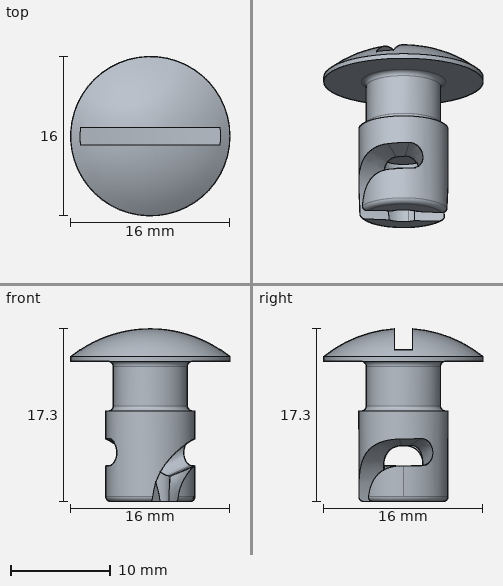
import cadquery as cq
import math

head_radius = 8.0
rim_bottom = 14.06
rim_thickness = 0.48
dome_apex = 17.37
driver_slot_width = 1.78
driver_slot_floor = 15.25
driver_slot_reach = 7.1
driver_slot_sag = 0.65

neck_radius = 3.73
body_radius = 4.48
body_top = 9.1
blend_radius = 0.5

bore_radius = 2.0
bore_depth = 6.0

slot_half_width = 1.35
slot_flare = 0.07
slot_dip = 0.345
path_height = 4.92
path_sweep = 64.5
ellipse_top_angle = 5.0
round_end_angle = -23.5
round_end_height = 4.97
cutter_overlap = 0.8
cutter_outer = body_radius + cutter_overlap
cutter_inner = bore_radius - cutter_overlap
curve_stations = 7
level_stations = 4
run_out = 1.5


def make_turned_body():
    """Domed head, neck and body as one solid of revolution, with blended edges."""
    rim_top = rim_bottom + rim_thickness
    dome_height = dome_apex - rim_top
    dome_radius = (head_radius**2 + dome_height**2) / (2 * dome_height)
    mid_x = head_radius / 2
    mid_z = dome_apex - dome_radius + math.sqrt(dome_radius**2 - mid_x**2)
    quarter = blend_radius * (1 - math.sqrt(0.5))
    neck_bottom = body_top + blend_radius
    neck_top = rim_bottom - blend_radius
    blend_outer = neck_radius + blend_radius
    profile = (
        cq.Workplane("XZ")
        .lineTo(body_radius - blend_radius, 0)
        .threePointArc((body_radius - quarter, quarter), (body_radius, blend_radius))
        .lineTo(body_radius, body_top)
        .lineTo(blend_outer, body_top)
        .threePointArc((neck_radius + quarter, body_top + quarter), (neck_radius, neck_bottom))
        .lineTo(neck_radius, neck_top)
        .threePointArc((neck_radius + quarter, rim_bottom - quarter), (blend_outer, rim_bottom))
        .lineTo(head_radius, rim_bottom)
        .lineTo(head_radius, rim_top)
        .threePointArc((mid_x, mid_z), (0, dome_apex))
        .close()
    )
    return profile.revolve(360, (0, 0, 0), (0, 1, 0))


def make_driver_slot():
    """Screwdriver slot across the head, with a floor that sags towards the middle."""
    return (
        cq.Workplane("XZ")
        .moveTo(-driver_slot_reach, dome_apex)
        .lineTo(-driver_slot_reach, driver_slot_floor)
        .threePointArc((0, driver_slot_floor - driver_slot_sag), (driver_slot_reach, driver_slot_floor))
        .lineTo(driver_slot_reach, dome_apex)
        .close()
        .extrude(driver_slot_width / 2, both=True)
    )


def make_bore():
    """Blind bore up from the lower end."""
    return cq.Workplane("XY").circle(bore_radius).extrude(bore_depth)


def slot_directions(angle):
    """Outward and sideways unit vectors at an angle turned from -X towards +Y."""
    turn = math.radians(angle)
    outward = cq.Vector(-math.cos(turn), math.sin(turn), 0)
    sideways = cq.Vector(math.sin(turn), math.cos(turn), 0)
    return outward, sideways


def slot_centre(angle, height, radius):
    """Point on the dipping middle surface of the slot."""
    outward, _ = slot_directions(angle)
    dip = slot_dip * (body_radius - radius)
    return outward * radius + cq.Vector(0, 0, height - dip)


def half_width(radius):
    """Half width of the slot at a distance from the axis of the part."""
    return slot_half_width + slot_flare * (body_radius - radius)


def slot_section(angle, height, turn_rate, climb_rate):
    """Cross-section of the slot where the path turns and climbs at the given rates."""
    _, sideways = slot_directions(angle)
    across = (sideways * -climb_rate + cq.Vector(0, 0, body_radius * turn_rate)).normalized()
    outer = slot_centre(angle, height, cutter_outer)
    inner = slot_centre(angle, height, cutter_inner)
    outer_step = across * half_width(cutter_outer)
    inner_step = across * half_width(cutter_inner)
    corners = [outer - outer_step, outer + outer_step, inner + inner_step, inner - inner_step]
    return cq.Wire.makePolygon(corners, close=True)


def make_cam_slot():
    """Cutter pieces for one cam slot, from the lower end of the body to the round end."""
    sweep = math.radians(path_sweep)
    curve_sections = []
    for station in range(curve_stations):
        turn = math.pi / 2 * station / (curve_stations - 1)
        angle = ellipse_top_angle + path_sweep * math.sin(turn)
        height = path_height * math.cos(turn)
        turn_rate = sweep * math.cos(turn)
        climb_rate = -path_height * math.sin(turn)
        curve_sections.append(slot_section(angle, height, turn_rate, climb_rate))
    curve = cq.Solid.makeLoft(curve_sections)

    mouth_angle = ellipse_top_angle + path_sweep
    mouth = cq.Solid.makeLoft([slot_section(mouth_angle, z, 0, -1) for z in (0, -run_out)], True)

    level_sections = []
    for station in range(level_stations):
        progress = station / (level_stations - 1)
        angle = ellipse_top_angle + (round_end_angle - ellipse_top_angle) * progress
        height = path_height + (round_end_height - path_height) * progress
        level_sections.append(slot_section(angle, height, 1, 0))
    level = cq.Solid.makeLoft(level_sections)

    outward, _ = slot_directions(round_end_angle)
    rings = []
    for radius in (cutter_outer, cutter_inner):
        centre = slot_centre(round_end_angle, round_end_height, radius)
        rings.append(cq.Wire.makeCircle(half_width(radius), centre, outward))
    round_end = cq.Solid.makeLoft(rings, True)
    return [curve, mouth, level, round_end]


part = make_turned_body().cut(make_driver_slot()).cut(make_bore())
axis_start = cq.Vector(0, 0, 0)
axis_end = cq.Vector(0, 0, 1)
for slot_turn in (0, 180):
    for piece in make_cam_slot():
        part = part.cut(cq.Workplane(piece.rotate(axis_start, axis_end, slot_turn)))

result = part